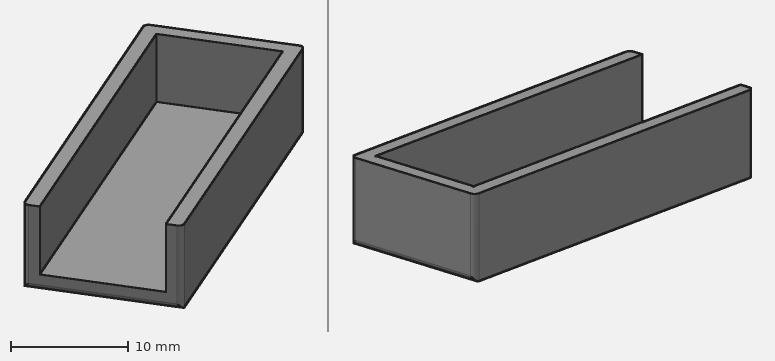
import cadquery as cq

width = 14.25
length = 35.5
height = 8.0

wall = 1.5
edge_radius = 0.5

block = cq.Workplane("XY").box(width, length, height, centered=(True, True, False))

block = block.edges("|Z or (<Z and |X)").fillet(edge_radius)

pocket = (
    cq.Workplane("XY")
    .box(width - 2 * wall, length, height, centered=(True, True, False))
    .translate((0, -wall, wall))
)

result = block.cut(pocket)